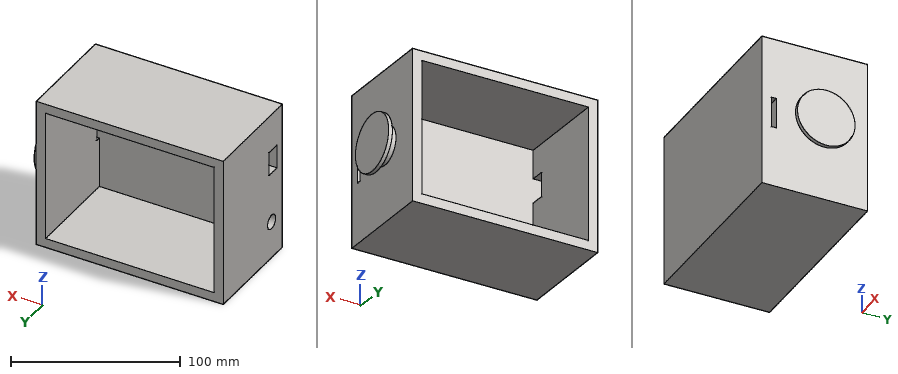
import cadquery as cq


total_length = 135.9
body_length = 127.0
depth = 69.8
height = 101.6
wall = 6.4

neck_diameter = 25.4
flange_thickness = 2.6
neck_length = total_length - body_length - flange_thickness
flange_diameter = 38.0
knob_y = 38.0
knob_z = height / 2

port_width = 9.5
port_height = 16.2
port_bottom = 60.0

round_port_diameter = 9.5
round_port_y = 12.8
round_port_z = 25.4

slot_width = 3.1
slot_height = 20.4


def corner_box(x, y, z, size_x, size_y, size_z):
    """Box whose lowest corner is at (x, y, z)."""
    return cq.Workplane("XY").box(size_x, size_y, size_z, centered=False).translate((x, y, z))


def cylinder_along_x(x, y, z, diameter, length):
    """Cylinder running in +X from the centre point (x, y, z)."""
    return cq.Workplane("YZ", origin=(x, y, z)).circle(diameter / 2).extrude(length)


def enclosure():
    """Hollow box that is open at the back."""
    outside = corner_box(0, 0, 0, body_length, depth, height)
    cavity = corner_box(
        wall, wall, wall,
        body_length - 2 * wall, depth - wall, height - 2 * wall,
    )
    return outside.cut(cavity)


def knob():
    """Round neck with a wider flange at its outer end."""
    neck = cylinder_along_x(body_length, knob_y, knob_z, neck_diameter, neck_length)
    flange = cylinder_along_x(
        body_length + neck_length, knob_y, knob_z, flange_diameter, flange_thickness
    )
    return neck.union(flange)


def left_wall_ports():
    """Rectangular and round openings through the left wall."""
    rectangular = corner_box(0, wall, port_bottom, wall, port_width, port_height)
    round_port = cylinder_along_x(0, round_port_y, round_port_z, round_port_diameter, wall)
    return rectangular.union(round_port)


def right_wall_slot():
    """Upright slot through the right wall, centred on the knob's height."""
    return corner_box(
        body_length - wall, wall, knob_z - slot_height / 2,
        wall, slot_width, slot_height,
    )


result = enclosure().union(knob()).cut(left_wall_ports()).cut(right_wall_slot())